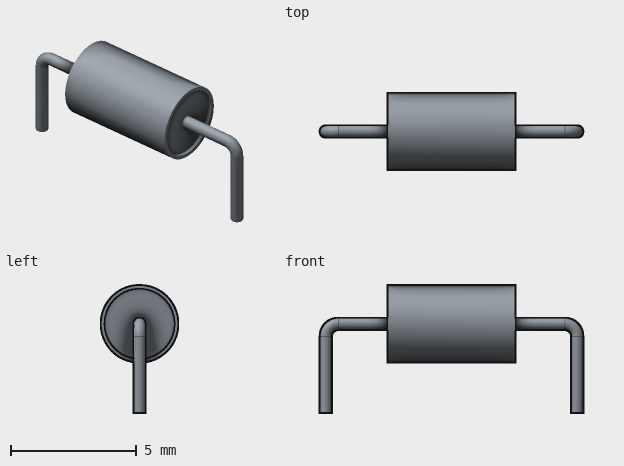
import cadquery as cq

body_diameter = 3.1
body_length = 5.1
recess_diameter = 2.79
recess_depth = 0.15
lead_diameter = 0.5
lead_pitch = 10.0
bend_radius = 0.5
overall_height = 5.1

lead_x = lead_pitch / 2
lead_bottom_z = body_diameter / 2 - overall_height


def x_cylinder(diameter, length):
    """Cylinder along X, centred on the origin."""
    start = cq.Workplane("YZ", origin=(-length / 2, 0, 0))
    return start.circle(diameter / 2).extrude(length)


def make_body():
    """Cylinder along X with a shallow round recess in each end face."""
    sleeve = x_cylinder(body_diameter, body_length).cut(x_cylinder(recess_diameter, body_length))
    core = x_cylinder(recess_diameter, body_length - 2 * recess_depth)
    return sleeve.union(core)


def make_leads():
    """One continuous wire through the body axis, bent down at both ends."""
    bend_x = lead_x - bend_radius
    path = (
        cq.Workplane("XZ")
        .moveTo(-lead_x, lead_bottom_z)
        .lineTo(-lead_x, -bend_radius)
        .tangentArcPoint((-bend_x, 0), relative=False)
        .lineTo(bend_x, 0)
        .tangentArcPoint((lead_x, -bend_radius), relative=False)
        .lineTo(lead_x, lead_bottom_z)
    )
    profile = cq.Workplane("XY", origin=(-lead_x, 0, lead_bottom_z)).circle(lead_diameter / 2)
    return profile.sweep(path)


result = make_body().union(make_leads())